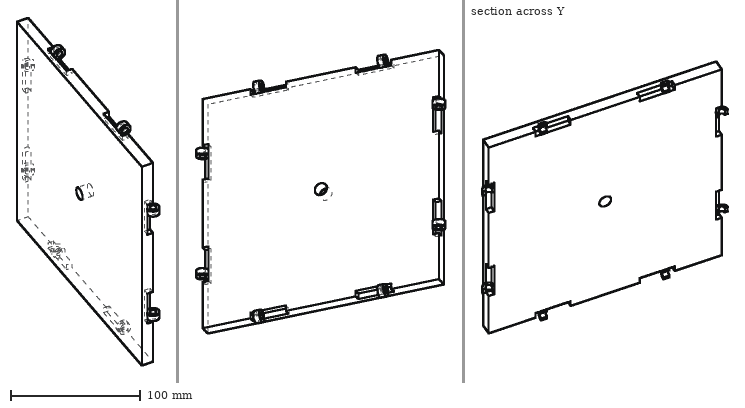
import cadquery as cq

outer_side = 210.0
knuckle_radius = 5.0
plate_side = outer_side - 2 * knuckle_radius
plate_thickness = 9.9
centre_hole_diameter = 10.0

notch_length = 30.0
notch_outer_end = 59.6
knuckle_overlap = 0.2
notch_depth = knuckle_radius - knuckle_overlap
notch_inset = notch_depth
notch_centre = notch_outer_end - notch_length / 2

knuckle_bore_radius = 2.5
knuckle_width = 5.0
knuckle_centre = 52.5

half_side = plate_side / 2
back_face = plate_thickness


def make_plate():
    """Square plate with its front face on Y = 0."""
    plate = cq.Workplane("XY").box(plate_side, plate_thickness, plate_side)
    plate = plate.translate((0, plate_thickness / 2, 0))
    return plate.faces("<Y").workplane(origin=(0, 0, 0)).hole(centre_hole_diameter)


def make_notch(side):
    """Cutter for one notch in the top edge, on the given side of the middle."""
    notch = cq.Workplane("XY").box(notch_length, notch_depth, notch_inset)
    return notch.translate((side * notch_centre, back_face - notch_depth / 2, half_side - notch_inset / 2))


def make_knuckle(side):
    """Bored knuckle on the top edge, with its axis along X."""
    start = side * knuckle_centre - knuckle_width / 2
    return (
        cq.Workplane("YZ", origin=(start, back_face, half_side))
        .circle(knuckle_radius)
        .circle(knuckle_bore_radius)
        .extrude(knuckle_width)
    )


def turn_to_edge(shape, quarter_turn):
    """Carry a top-edge feature round to another edge of the plate."""
    return shape.rotate((0, 0, 0), (0, 1, 0), 90 * quarter_turn)


result = make_plate()
for quarter_turn in range(4):
    for side in (-1, 1):
        result = result.cut(turn_to_edge(make_notch(side), quarter_turn))
        result = result.union(turn_to_edge(make_knuckle(side), quarter_turn))